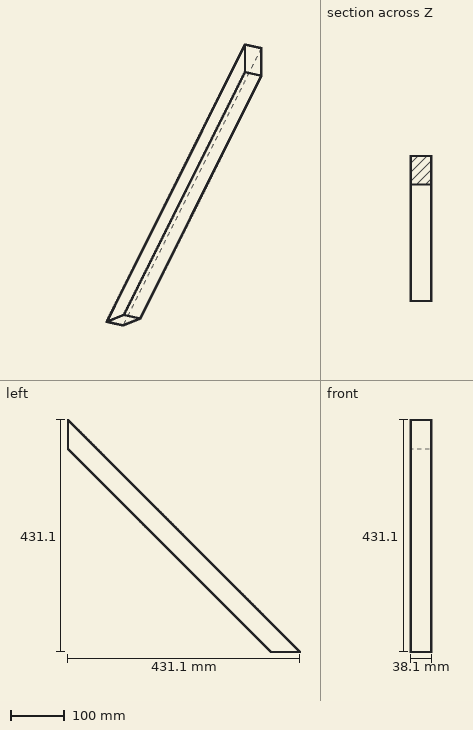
import cadquery as cq
import math

bar_size = 38.1
long_edge = 609.6
brace_angle = math.radians(45)

depth = long_edge * math.cos(brace_angle)
height = long_edge * math.sin(brace_angle)
plumb_cut = bar_size / math.cos(brace_angle)
level_cut = bar_size / math.sin(brace_angle)

profile = [
    (0, 0),
    (level_cut, 0),
    (depth, height - plumb_cut),
    (depth, height),
]

result = (
    cq.Workplane("YZ")
    .polyline(profile)
    .close()
    .extrude(bar_size)
)